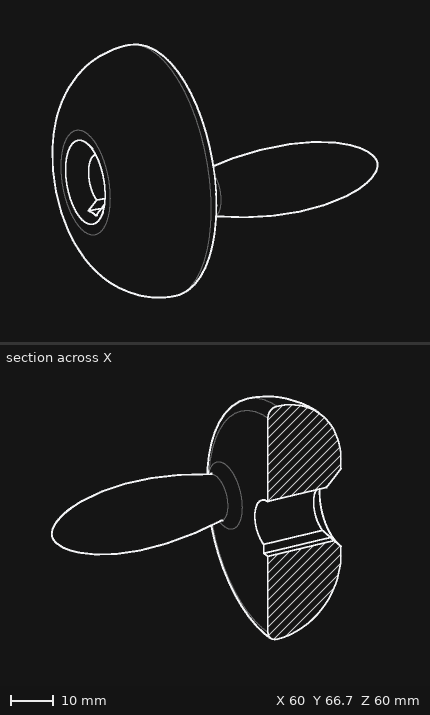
import cadquery as cq
import math

WHEEL_RADIUS = 30
WHEEL_THICKNESS = 20
RIM_FILLET = 2.45
BORE_RADIUS = 6
MOUTH_RADIUS = 10
MOUTH_DEPTH = MOUTH_RADIUS - BORE_RADIUS
KEYWAY_WIDTH = 3.8
KEYWAY_REACH = 8

HANDLE_OFFSET = 20
HANDLE_LENGTH = 46.65
HANDLE_ROOT = 0.65
NECK_RADIUS = 5.6
NECK_FILLET = RIM_FILLET
FOOT_RADIUS = NECK_RADIUS + NECK_FILLET
GRIP_BELLY_PULL = 11.85
GRIP_BELLY_HEIGHT = 29.4
GRIP_TIP_PULL = 4.9

DOME_RADIUS = WHEEL_THICKNESS - RIM_FILLET
FRONT_FLAT_RADIUS = WHEEL_RADIUS - DOME_RADIUS
DIAGONAL = math.sqrt(0.5)


def make_wheel():
    """Domed wheel, revolved about Y."""
    dome_middle = (
        FRONT_FLAT_RADIUS + DOME_RADIUS * DIAGONAL,
        -RIM_FILLET - DOME_RADIUS * DIAGONAL,
    )
    fillet_middle = (
        WHEEL_RADIUS - RIM_FILLET * (1 - DIAGONAL),
        -RIM_FILLET * (1 - DIAGONAL),
    )
    profile = (
        cq.Workplane("XY")
        .moveTo(0, 0)
        .lineTo(0, -WHEEL_THICKNESS)
        .lineTo(FRONT_FLAT_RADIUS, -WHEEL_THICKNESS)
        .threePointArc(dome_middle, (WHEEL_RADIUS, -RIM_FILLET))
        .threePointArc(fillet_middle, (WHEEL_RADIUS - RIM_FILLET, 0))
        .close()
    )
    return profile.revolve(360, (0, 0, 0), (0, 1, 0))


def make_handle():
    """Cigar-shaped grip with a flared foot, revolved about an axis parallel to Y."""
    flare_middle = (
        FOOT_RADIUS - NECK_FILLET * DIAGONAL,
        NECK_FILLET * (1 - DIAGONAL),
    )
    grip_controls = [
        (GRIP_BELLY_PULL, GRIP_BELLY_HEIGHT),
        (GRIP_TIP_PULL, HANDLE_LENGTH),
        (0, HANDLE_LENGTH),
    ]

    profile = (
        cq.Workplane("XY")
        .center(HANDLE_OFFSET, 0)
        .moveTo(0, -HANDLE_ROOT)
        .lineTo(FOOT_RADIUS, -HANDLE_ROOT)
        .lineTo(FOOT_RADIUS, 0)
        .threePointArc(flare_middle, (NECK_RADIUS, NECK_FILLET))
        .bezier(grip_controls, includeCurrent=True)
        .close()
    )
    return profile.revolve(360, (0, 0, 0), (0, 1, 0))


def make_bore():
    """Through bore with a conical mouth in the front face."""
    profile = (
        cq.Workplane("XY")
        .moveTo(0, 0)
        .lineTo(BORE_RADIUS, 0)
        .lineTo(BORE_RADIUS, MOUTH_DEPTH - WHEEL_THICKNESS)
        .lineTo(MOUTH_RADIUS, -WHEEL_THICKNESS)
        .lineTo(0, -WHEEL_THICKNESS)
        .close()
    )
    return profile.revolve(360, (0, 0, 0), (0, 1, 0))


def make_keyway():
    """Flat-bottomed keyway on the -Z side of the bore, full thickness."""
    keyway = cq.Workplane("XY").box(
        KEYWAY_WIDTH, WHEEL_THICKNESS, KEYWAY_REACH, centered=(True, False, False)
    )
    return keyway.translate((0, -WHEEL_THICKNESS, -KEYWAY_REACH))


result = make_wheel().union(make_handle()).cut(make_bore()).cut(make_keyway())